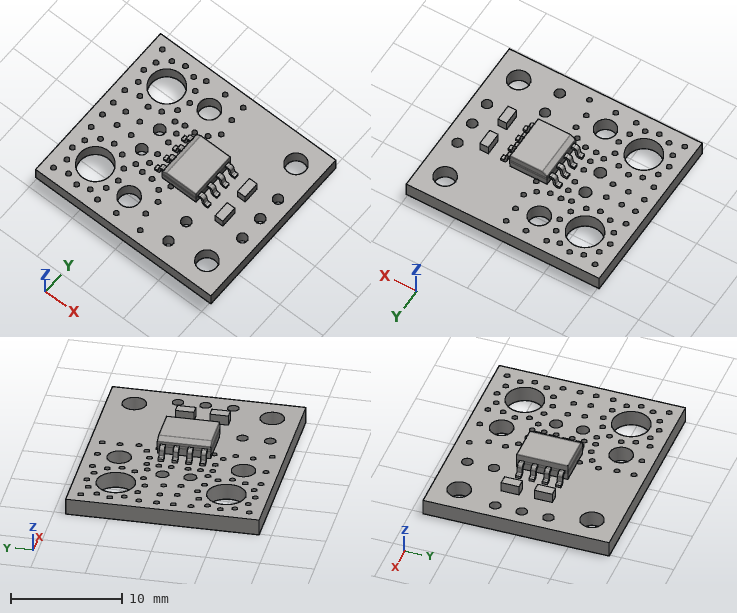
import cadquery as cq
import math

BOARD_LENGTH = 20.32
BOARD_WIDTH = 17.78
BOARD_THICKNESS = 1.56
TOTAL_HEIGHT = 3.31

CABLE_HOLE_DIAMETER = 3.55
CABLE_HOLE_X = -6.35
CABLE_HOLE_Y = 5.08
PEG_HOLE_DIAMETER = 2.2
PEG_HOLE_POINTS = [(-1.9, 5.7), (7.62, 6.35)]
SENSE_HOLE_DIAMETER = 1.15
SENSE_HOLE_POINT = (-4.06, 1.28)
PIN_HOLE_DIAMETER = 1.02
PIN_PITCH = 2.55
HEADER_X = 8.64
JUMPER_X = 3.68
JUMPER_Y = -5.7

VIA_DIAMETER = 0.5
VIA_RING_RADIUS = 2.66
VIA_RING_NEAR = 1.25
VIA_RING_FAR = 2.28
PAIRED_VIA_POINTS = [
    (-9.02, 7.75), (-3.92, 7.75), (-1.75, 7.75),
    (0.35, 6.12), (-0.28, 3.52), (0.35, 2.55),
    (-1.45, 3.03), (-2.56, 3.03), (-3.52, 2.78), (-9.02, 2.4),
    (-2.65, 1.9), (-2.65, 0.77), (-9.02, 0.77),
]
SINGLE_VIA_POINTS = [
    (0.35, 7.75), (1.02, -7.75),
    (0.53, 4.4), (0.45, -4.5),
    (-7.58, 0.77), (-5.95, 0.77),
    (-7.34, -0.77), (-5.7, -0.77),
]

CHIP_X = 1.22
CHIP_LENGTH = 3.96
CHIP_WIDTH = 4.94
CHIP_STANDOFF = 0.15
CHIP_DRAFT_ANGLE = 2.5
CHIP_EDGE_RADIUS = 0.05
BEVEL_RUN = 0.53
BEVEL_DROP = 0.37

LEAD_COUNT = 4
LEAD_PITCH = 1.28
LEAD_WIDTH = 0.49
LEAD_THICKNESS = 0.25
LEAD_INNER_RADIUS = 0.15
LEAD_OUTER_RADIUS = LEAD_INNER_RADIUS + LEAD_THICKNESS
LEAD_HEIGHT = 1.14
LEAD_SHOULDER = 0.25
LEAD_SPAN = 6.2
LEAD_LEAN = math.radians(10)
LEAD_EMBED = 0.2

CAPACITOR_LENGTH = 0.9
CAPACITOR_WIDTH = 1.7
CAPACITOR_HEIGHT = 0.95
CAPACITOR_POINTS = [(6.08, 1.3), (6.08, -1.87)]


def both_sides(points):
    """The points together with their mirror images across the X axis."""
    return points + [(x, -y) for x, y in points]


def via_ring(center_x, center_y):
    """Twelve via points round a cable hole."""
    offsets = []
    for sign in (-1, 1):
        offsets.append((sign * VIA_RING_RADIUS, 0))
        offsets.append((0, sign * VIA_RING_RADIUS))
        offsets += both_sides([(sign * VIA_RING_NEAR, VIA_RING_FAR), (sign * VIA_RING_FAR, VIA_RING_NEAR)])
    return [(center_x + x, center_y + y) for x, y in offsets]


def drill(board, points, diameter):
    """Cut round holes right through the board."""
    cutter = cq.Workplane("XY").pushPoints(points).circle(diameter / 2).extrude(BOARD_THICKNESS)
    return board.cut(cutter)


def make_board():
    board = cq.Workplane("XY").box(BOARD_LENGTH, BOARD_WIDTH, BOARD_THICKNESS, centered=(True, True, False))
    cable_holes = both_sides([(CABLE_HOLE_X, CABLE_HOLE_Y)])
    header = [(HEADER_X, i * PIN_PITCH) for i in (-1, 0, 1)]
    jumper = [(JUMPER_X, JUMPER_Y + side * PIN_PITCH / 2) for side in (-1, 1)]
    vias = both_sides(PAIRED_VIA_POINTS) + SINGLE_VIA_POINTS
    for x, y in cable_holes:
        vias += via_ring(x, y)

    board = drill(board, cable_holes, CABLE_HOLE_DIAMETER)
    board = drill(board, both_sides(PEG_HOLE_POINTS), PEG_HOLE_DIAMETER)
    board = drill(board, both_sides([SENSE_HOLE_POINT]), SENSE_HOLE_DIAMETER)
    board = drill(board, header + jumper, PIN_HOLE_DIAMETER)
    return drill(board, vias, VIA_DIAMETER)


def chip_slab(start_z, end_z, draft):
    """Block with the chip's footprint at start_z, narrowing by the draft angle towards end_z."""
    base = cq.Workplane("XY", origin=(CHIP_X, 0, start_z)).rect(CHIP_LENGTH, CHIP_WIDTH)
    return base.extrude(end_z - start_z, taper=draft)


def make_chip():
    """Package body: a straight band at lead height, drafted above and below it."""
    bottom = BOARD_THICKNESS + CHIP_STANDOFF
    band_top = BOARD_THICKNESS + LEAD_HEIGHT
    band_bottom = band_top - LEAD_THICKNESS
    left = CHIP_X - CHIP_LENGTH / 2

    band = chip_slab(band_bottom, band_top, 0)
    lower = chip_slab(band_bottom, bottom, CHIP_DRAFT_ANGLE)
    lower = lower.faces("<Z").edges().fillet(CHIP_EDGE_RADIUS)

    bevel = (
        cq.Workplane("XZ")
        .moveTo(left, TOTAL_HEIGHT)
        .lineTo(left + BEVEL_RUN, TOTAL_HEIGHT)
        .lineTo(left, TOTAL_HEIGHT - BEVEL_DROP)
        .close()
        .extrude(CHIP_WIDTH / 2, both=True)
    )
    upper = chip_slab(band_top, TOTAL_HEIGHT, CHIP_DRAFT_ANGLE).cut(bevel)
    upper = upper.faces(">Z or <(1, 0, -2)").edges().fillet(CHIP_EDGE_RADIUS)
    return band.union(lower).union(upper)


def make_lead():
    """Gull-wing lead on the +X side, centred on Y = 0, with a leg that leans outwards."""
    chip_side = CHIP_X + CHIP_LENGTH / 2
    root = chip_side - LEAD_EMBED
    tip = CHIP_X + LEAD_SPAN / 2
    bottom = BOARD_THICKNESS
    top = bottom + LEAD_HEIGHT
    cos_lean = math.cos(LEAD_LEAN)
    sin_lean = math.sin(LEAD_LEAN)

    upper_x = chip_side + LEAD_SHOULDER
    upper_z = top - LEAD_OUTER_RADIUS
    lower_z = bottom + LEAD_OUTER_RADIUS
    bend_gap = LEAD_INNER_RADIUS + LEAD_OUTER_RADIUS
    lower_x = upper_x + (bend_gap + (upper_z - lower_z) * sin_lean) / cos_lean

    def upper_bend_end(radius):
        return (upper_x + radius * cos_lean, upper_z + radius * sin_lean)

    def lower_bend_start(radius):
        return (lower_x - radius * cos_lean, lower_z - radius * sin_lean)

    outline = (
        cq.Workplane("XZ")
        .moveTo(root, top)
        .lineTo(upper_x, top)
        .tangentArcPoint(upper_bend_end(LEAD_OUTER_RADIUS), relative=False)
        .lineTo(*lower_bend_start(LEAD_INNER_RADIUS))
        .tangentArcPoint((lower_x, bottom + LEAD_THICKNESS), relative=False)
        .lineTo(tip, bottom + LEAD_THICKNESS)
        .lineTo(tip, bottom)
        .lineTo(lower_x, bottom)
        .tangentArcPoint(lower_bend_start(LEAD_OUTER_RADIUS), relative=False)
        .lineTo(*upper_bend_end(LEAD_INNER_RADIUS))
        .tangentArcPoint((upper_x, top - LEAD_THICKNESS), relative=False)
        .lineTo(root, top - LEAD_THICKNESS)
        .close()
    )
    return outline.extrude(LEAD_WIDTH / 2, both=True)


def make_capacitors():
    base = cq.Workplane("XY", origin=(0, 0, BOARD_THICKNESS)).pushPoints(CAPACITOR_POINTS)
    return base.rect(CAPACITOR_LENGTH, CAPACITOR_WIDTH).extrude(CAPACITOR_HEIGHT)


result = make_board().union(make_chip()).union(make_capacitors())

right_lead = make_lead()
left_lead = right_lead.mirror("YZ", (CHIP_X, 0, 0))
for row in range(LEAD_COUNT):
    row_y = (row - (LEAD_COUNT - 1) / 2) * LEAD_PITCH
    result = result.union(right_lead.translate((0, row_y, 0)))
    result = result.union(left_lead.translate((0, row_y, 0)))